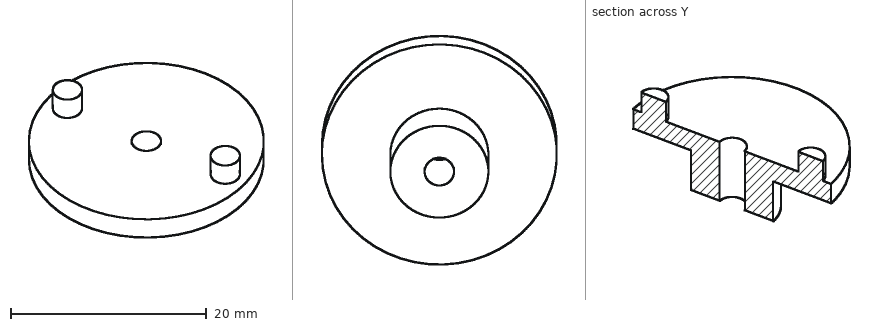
import cadquery as cq

disc_diameter = 24.0
overall_height = 10.0
disc_thickness = overall_height / 4
hub_diameter = 10.0
hub_height = overall_height / 2
pin_diameter = 3.0
pin_height = disc_thickness
pin_offset = 9.5
bore_diameter = pin_diameter

disc = cq.Workplane("XY").circle(disc_diameter / 2).extrude(disc_thickness)

hub = cq.Workplane("XY").circle(hub_diameter / 2).extrude(-hub_height)

pins = (
    cq.Workplane("XY")
    .workplane(offset=disc_thickness)
    .pushPoints([(-pin_offset, 0), (pin_offset, 0)])
    .circle(pin_diameter / 2)
    .extrude(pin_height)
)

bore = (
    cq.Workplane("XY")
    .workplane(offset=-hub_height)
    .circle(bore_diameter / 2)
    .extrude(hub_height + disc_thickness)
)

result = disc.union(hub).union(pins).cut(bore)